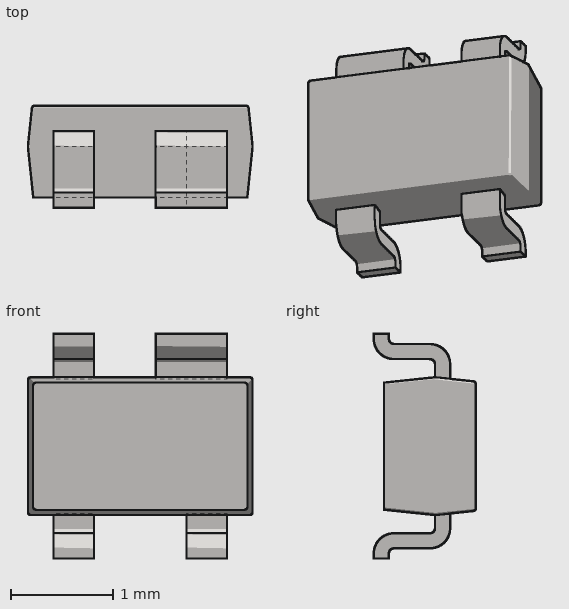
import cadquery as cq
import math

BODY_LENGTH = 2.2
BODY_HEIGHT = 1.35
FRONT_DEPTH = 0.5
BACK_DEPTH = 0.4
DRAFT_ANGLE = 6.0
EDGE_RADIUS = 0.032

LEAD_SPAN = 2.2
LEAD_THICKNESS = 0.15
STANDOFF = 0.1
TOE_LENGTH = 0.1
INNER_BEND = 0.05
OUTER_BEND = INNER_BEND + LEAD_THICKNESS
EMBED_DEPTH = 0.2
NARROW_LEAD = 0.4
WIDE_LEAD = 0.7
LEAD_EDGE = 0.85

LEADS = [
    (1, -LEAD_EDGE, NARROW_LEAD),
    (1, LEAD_EDGE - WIDE_LEAD, WIDE_LEAD),
    (-1, -LEAD_EDGE, NARROW_LEAD),
    (-1, LEAD_EDGE - NARROW_LEAD, NARROW_LEAD),
]


def body_half(depth, direction):
    """Half of the body, tapering away from the parting plane (direction is +1 for +Y)."""
    plane = cq.Plane(origin=(0, 0, 0), xDir=(1, 0, 0), normal=(0, direction, 0))
    return cq.Workplane(plane).rect(BODY_LENGTH, BODY_HEIGHT).extrude(depth, taper=DRAFT_ANGLE)


def make_body():
    """Both halves, with every edge rounded except those around the flat -Y face."""
    body = body_half(FRONT_DEPTH, -1).union(body_half(BACK_DEPTH, 1))
    return body.edges("not <Y").fillet(EDGE_RADIUS)


def make_lead(side, x_left, width):
    """S-bent strip leaving the body just behind the parting plane; side is +1 for +Z, -1 for -Z."""
    tip_z = LEAD_SPAN / 2
    bridge_outer_z = tip_z - TOE_LENGTH
    bridge_inner_z = bridge_outer_z - LEAD_THICKNESS
    root_z = BODY_HEIGHT / 2 - EMBED_DEPTH
    root_back_y = LEAD_THICKNESS
    foot_y = -(FRONT_DEPTH + STANDOFF)
    foot_back_y = foot_y + LEAD_THICKNESS
    root_bend = (-INNER_BEND, bridge_inner_z - INNER_BEND)
    foot_bend = (foot_back_y + INNER_BEND, bridge_outer_z + INNER_BEND)
    diagonal = math.sqrt(0.5)

    def on_bend(center, radius, y_sign, z_sign):
        """Middle point of a quarter bend."""
        return (center[0] + y_sign * radius * diagonal, center[1] + z_sign * radius * diagonal)

    profile = (
        cq.Workplane("YZ", origin=(x_left, 0, 0))
        .moveTo(0, root_z)
        .lineTo(root_back_y, root_z)
        .lineTo(root_back_y, root_bend[1])
        .threePointArc(on_bend(root_bend, OUTER_BEND, 1, 1), (root_bend[0], bridge_outer_z))
        .lineTo(foot_bend[0], bridge_outer_z)
        .threePointArc(on_bend(foot_bend, INNER_BEND, -1, -1), (foot_back_y, foot_bend[1]))
        .lineTo(foot_back_y, tip_z)
        .lineTo(foot_y, tip_z)
        .lineTo(foot_y, foot_bend[1])
        .threePointArc(on_bend(foot_bend, OUTER_BEND, -1, -1), (foot_bend[0], bridge_inner_z))
        .lineTo(root_bend[0], bridge_inner_z)
        .threePointArc(on_bend(root_bend, INNER_BEND, 1, 1), (0, root_bend[1]))
        .close()
    )
    lead = profile.extrude(width)
    return lead if side > 0 else lead.mirror("XY")


result = make_body()
for lead_side, lead_x, lead_width in LEADS:
    result = result.union(make_lead(lead_side, lead_x, lead_width))